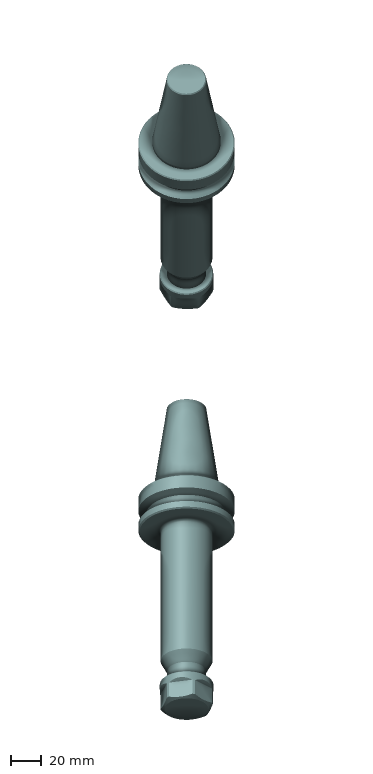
import cadquery as cq
import math

total_height = 225.5

gauge_z = 160.0
gauge_radius = 44.6 / 2
taper_ratio = 7 / 24
tip_chamfer = 0.7
tip_radius = gauge_radius - (total_height - gauge_z) * taper_ratio / 2
taper_shoulder_radius = tip_radius + tip_chamfer * taper_ratio / 2

flange_radius = 62.9 / 2
flange_top_z = 158.0
flange_bottom_z = 133.0
flange_top_chamfer = 0.7
flange_bottom_chamfer = 1.0
groove_radius = 53.0 / 2
groove_upper_z = 148.3
groove_floor_top_z = 145.5
groove_floor_bottom_z = 140.9
groove_lower_z = 138.2

body_radius = 17.0
body_bottom_z = 35.8
body_fillet = 2.0
neck_radius = 12.8
neck_top_z = 28.2

nut_radius = 35.0 / 2
nut_top_z = 19.0
nut_top_chamfer = 0.7
nut_bottom_radius = 14.2
nut_bottom_chamfer_angle = 30
flat_count = 6
flat_distance = 15.5
flat_top_z = 12.5


def make_holder():
    """Revolve the shank, flange, body and neck about Z."""
    fillet_offset = body_fillet * (1 - math.sqrt(0.5))
    return (
        cq.Workplane("XZ")
        .moveTo(0, nut_top_z)
        .lineTo(neck_radius, nut_top_z)
        .lineTo(neck_radius, neck_top_z)
        .lineTo(body_radius, body_bottom_z)
        .lineTo(body_radius, flange_bottom_z - body_fillet)
        .threePointArc(
            (body_radius + fillet_offset, flange_bottom_z - fillet_offset),
            (body_radius + body_fillet, flange_bottom_z),
        )
        .lineTo(flange_radius - flange_bottom_chamfer, flange_bottom_z)
        .lineTo(flange_radius, flange_bottom_z + flange_bottom_chamfer)
        .lineTo(flange_radius, groove_lower_z)
        .lineTo(groove_radius, groove_floor_bottom_z)
        .lineTo(groove_radius, groove_floor_top_z)
        .lineTo(flange_radius, groove_upper_z)
        .lineTo(flange_radius, flange_top_z - flange_top_chamfer)
        .lineTo(flange_radius - flange_top_chamfer, flange_top_z)
        .lineTo(gauge_radius, flange_top_z)
        .lineTo(gauge_radius, gauge_z)
        .lineTo(taper_shoulder_radius, total_height - tip_chamfer)
        .lineTo(taper_shoulder_radius - tip_chamfer, total_height)
        .lineTo(0, total_height)
        .close()
        .revolve(360, (0, 0, 0), (0, 1, 0))
    )


def make_nut_blank():
    """Round nut with a chamfer at each end."""
    bottom_rise = (nut_radius - nut_bottom_radius) * math.tan(math.radians(nut_bottom_chamfer_angle))
    return (
        cq.Workplane("XZ")
        .lineTo(nut_bottom_radius, 0)
        .lineTo(nut_radius, bottom_rise)
        .lineTo(nut_radius, nut_top_z - nut_top_chamfer)
        .lineTo(nut_radius - nut_top_chamfer, nut_top_z)
        .lineTo(0, nut_top_z)
        .close()
        .revolve(360, (0, 0, 0), (0, 1, 0))
    )


def make_flat_cutter():
    """Cutter for the -Y flat, with a 45 degree run-out at its top."""
    depth = nut_radius
    return (
        cq.Workplane("YZ")
        .polyline([
            (-flat_distance, 0),
            (-flat_distance, flat_top_z),
            (-flat_distance - depth, flat_top_z + depth),
            (-flat_distance - depth, 0),
        ])
        .close()
        .extrude(nut_radius, both=True)
    )


def make_nut():
    nut = make_nut_blank()
    cutter = make_flat_cutter()
    for i in range(flat_count):
        nut = nut.cut(cutter.rotate((0, 0, 0), (0, 0, 1), i * 360 / flat_count))
    return nut


result = make_holder().union(make_nut())